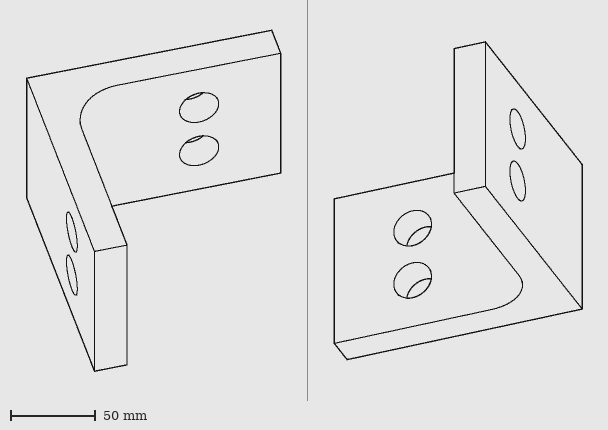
import cadquery as cq

leg_length = 150.0
height = 100.0
thickness = 20.0
inner_radius = 30.0

hole_diameter = 24.0
hole_spacing = 36.0
hole_from_corner = 100.0


def make_angle():
    """L-shaped bracket with its outer corner on the Z axis and a rounded inner corner."""
    round_end = thickness + inner_radius
    return (
        cq.Workplane("XY")
        .moveTo(0, 0)
        .lineTo(leg_length, 0)
        .lineTo(leg_length, thickness)
        .lineTo(round_end, thickness)
        .radiusArc((thickness, round_end), inner_radius)
        .lineTo(thickness, leg_length)
        .lineTo(0, leg_length)
        .close()
        .extrude(height)
    )


def make_hole(center, direction):
    """Cylinder that starts on a leg's outer face and passes through its thickness."""
    return cq.Solid.makeCylinder(hole_diameter / 2, thickness, center, direction)


result = make_angle()

for side in (-1, 1):
    hole_z = height / 2 + side * hole_spacing / 2
    x_leg_hole = make_hole(cq.Vector(hole_from_corner, 0, hole_z), cq.Vector(0, 1, 0))
    y_leg_hole = make_hole(cq.Vector(0, hole_from_corner, hole_z), cq.Vector(1, 0, 0))
    result = result.cut(x_leg_hole).cut(y_leg_hole)